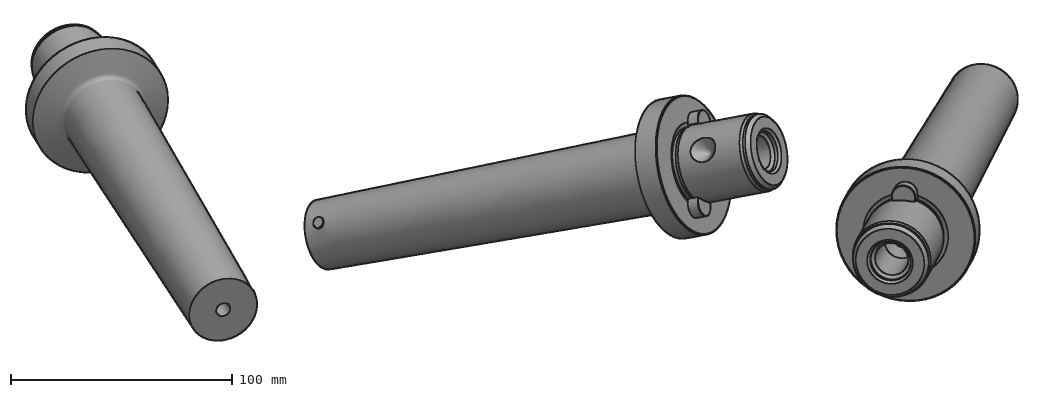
import cadquery as cq
import math

overall_length = 238.0

shank_diameter = 36.0
shank_radius = shank_diameter / 2
nose_face_radius = 15.7
nose_radius = 17.4
nose_chamfer_end = 2.0
nose_band_end = 3.0
lead_in_end = 4.5

relief_radius = 17.4
relief_start = 37.4
relief_ramp = 1.7
relief_depth = 0.7
relief_outer_radius = 19.5

flange_diameter = 64.0
flange_radius = flange_diameter / 2
flange_face = 40.0
flange_chamfer = 0.5
flange_rim_end = 51.5
flange_cone_end = 54.7
flange_cone_radius = 21.0

arm_start = 57.8
arm_root_diameter = 37.8
arm_tip_diameter = 32.1

mouth_radius = 10.5
mouth_depth = 1.2
counterbore_radius = 9.3
counterbore_depth = 2.9
pilot_radius = 7.5
pilot_start = 4.0
pilot_depth = 28.5
coolant_radius = 3.3
drill_point_angle = 118.0

seat_x = 24.0
seat_radius = 6.7
seat_depth = seat_radius

key_radius = 5.5
key_height = 25.0
key_gap = 35.0
key_base = key_gap / 2
key_length = 5.5
key_chamfer = 0.2

screw_x = 230.1
screw_radius = 2.5
screw_length = 7.1
screw_top = 17.0


def make_blank():
    """Turned outside shape: shank, relief groove, flange and tapered arm."""
    profile = (
        cq.Workplane("XY")
        .lineTo(0, nose_face_radius)
        .lineTo(nose_chamfer_end, nose_radius)
        .lineTo(nose_band_end, nose_radius)
        .lineTo(lead_in_end, shank_radius)
        .lineTo(relief_start, shank_radius)
        .lineTo(relief_start + relief_ramp, relief_radius)
        .lineTo(flange_face + relief_depth, relief_radius)
        .lineTo(flange_face, relief_outer_radius)
        .lineTo(flange_face, flange_radius - flange_chamfer)
        .lineTo(flange_face + flange_chamfer, flange_radius)
        .lineTo(flange_rim_end, flange_radius)
        .lineTo(flange_cone_end, flange_cone_radius)
        .tangentArcPoint((arm_start, arm_root_diameter / 2), relative=False)
        .lineTo(overall_length, arm_tip_diameter / 2)
        .lineTo(overall_length, 0)
        .close()
    )
    return profile.revolve(360, (0, 0, 0), (1, 0, 0))


def make_bore():
    """Stepped bore with a conical bottom, then a coolant hole through the arm."""
    half_angle = math.radians(drill_point_angle / 2)
    cone_length = (pilot_radius - coolant_radius) / math.tan(half_angle)
    profile = (
        cq.Workplane("XY")
        .lineTo(0, mouth_radius)
        .lineTo(mouth_depth, counterbore_radius)
        .lineTo(counterbore_depth, counterbore_radius)
        .lineTo(pilot_start, pilot_radius)
        .lineTo(pilot_depth, pilot_radius)
        .lineTo(pilot_depth + cone_length, coolant_radius)
        .lineTo(overall_length, coolant_radius)
        .lineTo(overall_length, 0)
        .close()
    )
    return profile.revolve(360, (0, 0, 0), (1, 0, 0))


def make_seat():
    """Conical pocket, widest at the +Y side of the shank."""
    tip = cq.Vector(seat_x, shank_radius - seat_depth, 0)
    cone = cq.Solid.makeCone(0, seat_radius, seat_depth, tip, cq.Vector(0, 1, 0))
    return cq.Workplane(cone)


def make_key(angle):
    """Drive key with a flat base and a round outer end, turned about X."""
    arc_center = key_height - key_radius
    key = (
        cq.Workplane("YZ", origin=(flange_face - key_length, 0, 0))
        .moveTo(-key_radius, key_base)
        .lineTo(-key_radius, arc_center)
        .threePointArc((0, key_height), (key_radius, arc_center))
        .lineTo(key_radius, key_base)
        .close()
        .extrude(key_length)
        .faces("<X")
        .chamfer(key_chamfer)
    )
    return key.rotate((0, 0, 0), (1, 0, 0), angle)


def make_screw():
    """Radial clamping screw standing slightly proud of the arm."""
    screw = cq.Solid.makeCylinder(
        screw_radius,
        screw_length,
        cq.Vector(screw_x, screw_top - screw_length, 0),
        cq.Vector(0, 1, 0),
    )
    return cq.Workplane(screw)


keys = [make_key(angle) for angle in (0, 180)]
screw = make_screw()

body = make_blank().cut(make_bore()).cut(make_seat())
for fitted_part in (*keys, screw):
    body = body.cut(fitted_part)

result = cq.Compound.makeCompound([body.val(), *[key.val() for key in keys], screw.val()])